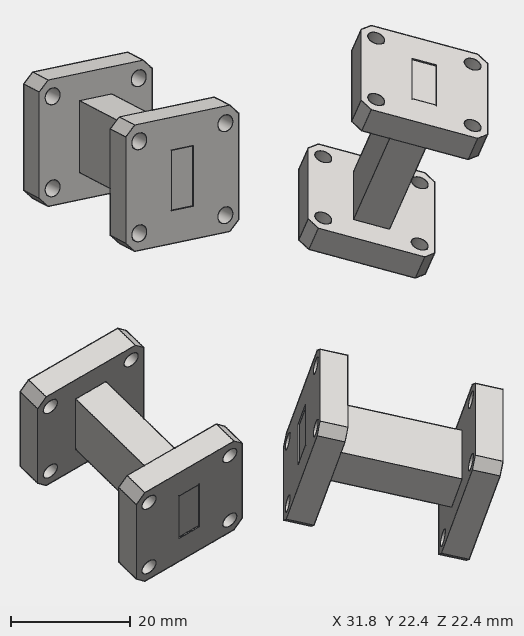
import cadquery as cq

overall_length = 31.75
flange_size = 22.35
flange_thickness = 4.83
flange_corner_chamfer = 1.78

hole_diameter = 2.95
hole_spacing_y = 17.02
hole_spacing_z = 16.26

opening_width_y = 4.32
opening_height_z = 10.67
tube_wall = 1.02
tube_width_y = opening_width_y + 2 * tube_wall
tube_height_z = opening_height_z + 2 * tube_wall

recess_depth = 0.254


def make_flange(center_x):
    """Square flange with chamfered corners and four through holes."""
    plate = (
        cq.Workplane("XY")
        .box(flange_thickness, flange_size, flange_size)
        .edges("|X")
        .chamfer(flange_corner_chamfer)
    )
    drilled = (
        plate.faces("<X")
        .workplane(centerOption="CenterOfBoundBox")
        .rarray(hole_spacing_y, hole_spacing_z, 2, 2)
        .hole(hole_diameter)
    )
    return drilled.translate((center_x, 0, 0))


def make_recess(face_x):
    """Cutter centred on a flange face, so half its length enters the flange."""
    cutter = cq.Workplane("XY").box(2 * recess_depth, opening_width_y, opening_height_z)
    return cutter.translate((face_x, 0, 0))


tube_length = overall_length - 2 * flange_thickness
result = cq.Workplane("XY").box(tube_length, tube_width_y, tube_height_z)

for side in (-1, 1):
    result = result.union(make_flange(side * (overall_length - flange_thickness) / 2))
    result = result.cut(make_recess(side * overall_length / 2))